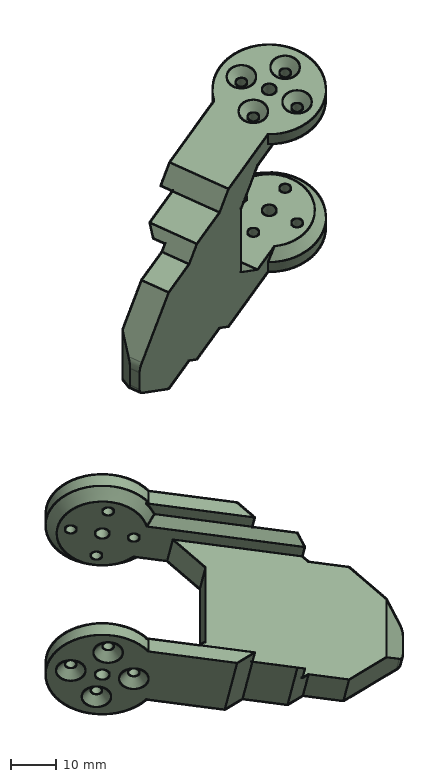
import cadquery as cq
import math

ARM_ANGLE = -45

TOTAL_LENGTH_X = 64.7
TOTAL_HEIGHT = 49.5
HALF_HEIGHT = TOTAL_HEIGHT / 2
ARM_INNER_HEIGHT = 18.7
STRIP_HEIGHT = 20.8
WEB_HEIGHT = 17.35

BACK_SIDE = 5.95
WEB_FRONT = -1.0
STRIP_FRONT = -6.0
ARM_FRONT = -9.0

ARM_SLOPE_START = 28.5
STRIP_SLOPE_START = 42.5
TIP_SLOPE_START = 55.0
TIP_RADIUS = 3.5
TIP_FLAT_Y = -45.5
OPENING_END = 22.9
OPENING_HALF_HEIGHT = 11.4

HUB_RADIUS = 12.5
HUB_CHAMFER = 2.45
CENTRE_HOLE_DIAMETER = 3.2
SCREW_HOLE_DIAMETER = 2.5
SCREW_HEAD_DIAMETER = 6.5
SCREW_SPACING = 9.95
COUNTERSINK_ANGLE = 90

TIP_END = (TOTAL_LENGTH_X - HUB_RADIUS) * math.sqrt(2) - BACK_SIDE


def extrude_across(points, front, back):
    """Extrude an (along, Z) outline from front to back across the arm."""
    return cq.Workplane("XZ", origin=(0, back, 0)).polyline(points).close().extrude(back - front)


def arm_tier():
    """Outer, widest tier of the upper arm, ending in a 45 degree slope."""
    slope = HALF_HEIGHT - STRIP_HEIGHT
    outline = [
        (0, STRIP_HEIGHT),
        (0, HALF_HEIGHT),
        (ARM_SLOPE_START, HALF_HEIGHT),
        (ARM_SLOPE_START + slope, STRIP_HEIGHT),
    ]
    return extrude_across(outline, ARM_FRONT, BACK_SIDE)


def strip_tier():
    """Inner tier of the upper arm, bevelled at 45 degrees along its front edge."""
    thickness = STRIP_HEIGHT - ARM_INNER_HEIGHT
    outline = [
        (0, ARM_INNER_HEIGHT),
        (0, STRIP_HEIGHT),
        (STRIP_SLOPE_START, STRIP_HEIGHT),
        (STRIP_SLOPE_START + thickness, ARM_INNER_HEIGHT),
    ]
    bevel = (
        cq.Workplane("YZ")
        .polyline([
            (STRIP_FRONT, STRIP_HEIGHT),
            (STRIP_FRONT, ARM_INNER_HEIGHT),
            (STRIP_FRONT + thickness, ARM_INNER_HEIGHT),
        ])
        .close()
        .extrude(TIP_END)
    )
    return extrude_across(outline, STRIP_FRONT, BACK_SIDE).cut(bevel)


def hub():
    """Upper hub disc, chamfered around its inner face."""
    return (
        cq.Workplane("XY", origin=(0, 0, ARM_INNER_HEIGHT))
        .circle(HUB_RADIUS)
        .extrude(HALF_HEIGHT - ARM_INNER_HEIGHT)
        .faces("<Z")
        .chamfer(HUB_CHAMFER)
    )


def web():
    """Upright plate joining both arms, with a 45 degree mouth and a tapered tip."""
    mouth_start = OPENING_END - (STRIP_HEIGHT - OPENING_HALF_HEIGHT)
    shoulder = STRIP_SLOPE_START + STRIP_HEIGHT - WEB_HEIGHT
    tip_half_height = WEB_HEIGHT - (TIP_END - TIP_SLOPE_START)
    upper = [
        (OPENING_END, OPENING_HALF_HEIGHT),
        (mouth_start, STRIP_HEIGHT),
        (STRIP_SLOPE_START, STRIP_HEIGHT),
        (shoulder, WEB_HEIGHT),
        (TIP_SLOPE_START, WEB_HEIGHT),
        (TIP_END, tip_half_height),
    ]
    lower = [(along, -height) for along, height in reversed(upper)]
    plate = extrude_across(upper + lower, WEB_FRONT, BACK_SIDE)
    return plate.faces(">X").edges("|Y").fillet(TIP_RADIUS)


def drill_hub(body):
    """Drill the hub of the upper arm, with countersunk screw holes from outside."""
    outer_face = cq.Workplane("XY", origin=(0, 0, HALF_HEIGHT))
    depth = HALF_HEIGHT - ARM_INNER_HEIGHT
    return (
        body.cut(outer_face.circle(CENTRE_HOLE_DIAMETER / 2).extrude(-depth))
        .copyWorkplane(outer_face)
        .transformed(rotate=(0, 0, -ARM_ANGLE))
        .rect(SCREW_SPACING, SCREW_SPACING, forConstruction=True)
        .vertices()
        .cskHole(SCREW_HOLE_DIAMETER, SCREW_HEAD_DIAMETER, COUNTERSINK_ANGLE, depth)
    )


upper_arm = drill_hub(arm_tier().union(strip_tier()).union(hub()))
lower_arm = upper_arm.mirror("XY")
body = web().union(upper_arm).union(lower_arm)
body = body.rotate((0, 0, 0), (0, 0, 1), ARM_ANGLE)

tip_trim = cq.Workplane("XY").box(
    2 * TIP_END, TIP_END, TOTAL_HEIGHT
).translate((TIP_END / math.sqrt(2), TIP_FLAT_Y - TIP_END / 2, 0))

result = body.cut(tip_trim)